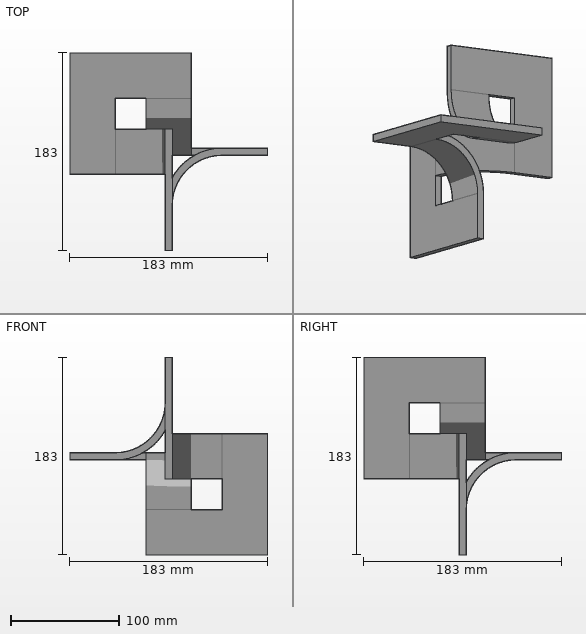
import cadquery as cq
import math

overall_size = 183.0
band_width = 42.1
thickness = 6.8

reach = overall_size / 2
half_band = band_width / 2
bend_start = reach - band_width
inner_radius = bend_start - thickness / 2
outer_radius = bend_start + thickness / 2
arc_middle = math.sqrt(0.5)


def flat_plate():
    """Horizontal L-shaped plate with its outer corner at -X, +Y."""
    outline = [
        (-reach, -half_band),
        (-bend_start, -half_band),
        (-bend_start, bend_start),
        (half_band, bend_start),
        (half_band, reach),
        (-reach, reach),
    ]
    return (
        cq.Workplane("XY")
        .polyline(outline)
        .close()
        .extrude(thickness / 2, both=True)
    )


def quarter_bend():
    """Bend that turns the horizontal plate up into the plate normal to X."""
    center_x = -bend_start
    center_z = bend_start
    return (
        cq.Workplane("XZ")
        .moveTo(center_x, center_z - outer_radius)
        .threePointArc(
            (center_x + outer_radius * arc_middle, center_z - outer_radius * arc_middle),
            (center_x + outer_radius, center_z),
        )
        .lineTo(center_x + inner_radius, center_z)
        .threePointArc(
            (center_x + inner_radius * arc_middle, center_z - inner_radius * arc_middle),
            (center_x, center_z - inner_radius),
        )
        .close()
        .extrude(half_band, both=True)
    )


segment = flat_plate().union(quarter_bend())

result = segment
for turn in (120, 240):
    result = result.union(segment.rotate((0, 0, 0), (1, 1, 1), turn))